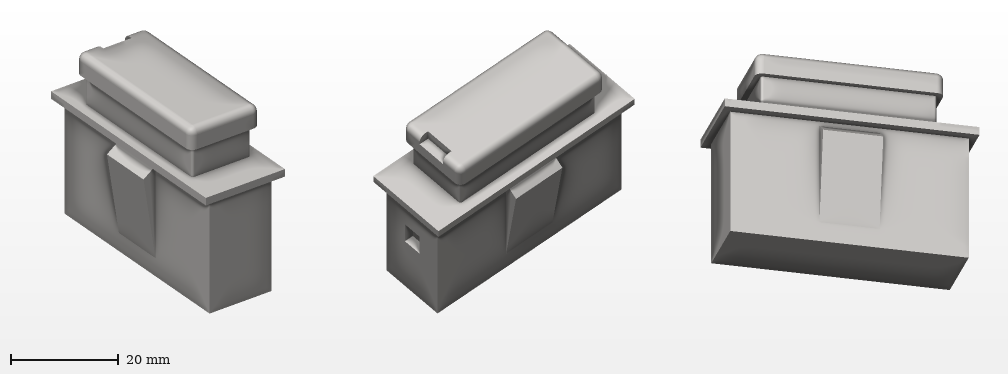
import cadquery as cq

body_height = 24.6
flange_thickness = 1.6
neck_height = 6.6
cap_height = 4.6
flange_top = body_height + flange_thickness
cap_bottom = flange_top + neck_height
cap_top = cap_bottom + cap_height

flange_length, flange_width = 48.8, 18.15
body_length, body_width = 45.7, 14.15
neck_length, neck_width = 33.65, 13.35
cap_length, cap_width = 36.1, 15.9
neck_corner_radius = 0.5
cap_edge_radius = 1.45

wedge_length = 11.5
wedge_span = 19.6
wedge_bottom = 3.9
wedge_peak = 21.65
wedge_top = 23.65

recess_width = 4.0
recess_bottom = 12.65
recess_height = 4.8
recess_depth = 1.95

notch_width = 6.55
notch_length = 2.1
notch_depth = 2.05


def block(length, width, height, bottom):
    """Box centred on the Z axis, standing on the given level."""
    return cq.Workplane("XY").box(length, width, height, centered=(True, True, False)).translate((0, 0, bottom))


def end_cutter(depth, width, height, end_x, bottom):
    """Box reaching in +X from the end face at end_x."""
    return (
        cq.Workplane("XY")
        .box(depth, width, height, centered=(False, True, False))
        .translate((end_x, 0, bottom))
    )


def wedges():
    """Both wedges as one prism running through the body."""
    half_body = body_width / 2
    half_span = wedge_span / 2
    profile = [
        (-half_body, wedge_bottom),
        (half_body, wedge_bottom),
        (half_span, wedge_peak),
        (half_body, wedge_top),
        (-half_body, wedge_top),
        (-half_span, wedge_peak),
    ]
    return cq.Workplane("YZ").polyline(profile).close().extrude(wedge_length / 2, both=True)


def cap():
    """Lid with rounded corners, rounded top edge and a finger notch."""
    lid = block(cap_length, cap_width, cap_height, cap_bottom)
    lid = lid.edges("|Z or >Z").fillet(cap_edge_radius)
    notch = end_cutter(notch_length, notch_width, notch_depth, -cap_length / 2, cap_top - notch_depth)
    return lid.cut(notch)


body = block(body_length, body_width, body_height, 0).union(wedges())
recess = end_cutter(recess_depth, recess_width, recess_height, -body_length / 2, recess_bottom)
body = body.cut(recess)

flange = block(flange_length, flange_width, flange_thickness, body_height)
neck = block(neck_length, neck_width, neck_height, flange_top)
neck = neck.edges("|Z").fillet(neck_corner_radius)

result = body.union(flange).union(neck).union(cap())